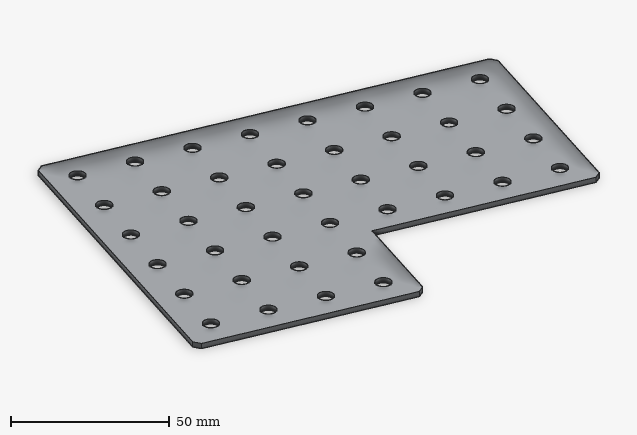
import cadquery as cq

pitch = 20.0
columns = 6
rows = 8
arm_columns = 4
foot_rows = 4
thickness = 2.0
corner_chamfer = 2.0
hole_diameter = 5.5

width = columns * pitch
height = rows * pitch
arm_width = arm_columns * pitch
foot_height = foot_rows * pitch


def l_plate():
    """L-shaped plate with its five outer corners cut off."""
    arm = cq.Workplane("XY").box(arm_width, height, thickness, centered=False)
    foot = cq.Workplane("XY").box(width, foot_height, thickness, centered=False)
    inner_corner = cq.selectors.BoxSelector(
        (arm_width - pitch / 2, foot_height - pitch / 2, -thickness),
        (arm_width + pitch / 2, foot_height + pitch / 2, 2 * thickness),
    )
    outer_corners = cq.selectors.SubtractSelector(cq.StringSyntaxSelector("|Z"), inner_corner)
    return arm.union(foot).edges(outer_corners).chamfer(corner_chamfer)


def hole_centers():
    """Centres of the grid cells that lie on the plate."""
    return [
        ((column + 0.5) * pitch, (row + 0.5) * pitch)
        for column in range(columns)
        for row in range(rows)
        if column < arm_columns or row < foot_rows
    ]


holes = cq.Workplane("XY").pushPoints(hole_centers()).circle(hole_diameter / 2).extrude(thickness)

result = l_plate().cut(holes).translate((-width / 2, -height / 2, -thickness / 2))